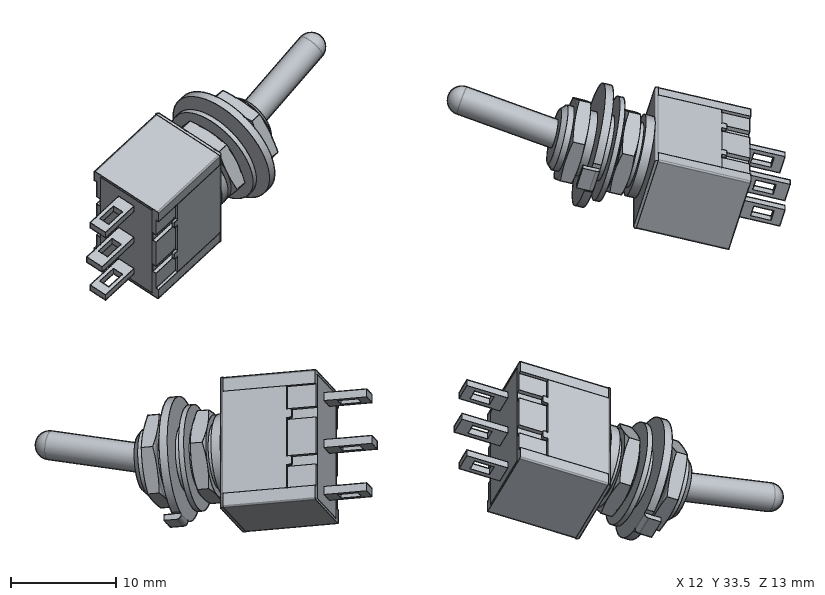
import cadquery as cq
import math


CASE_WIDTH = 7.98
CASE_HEIGHT = 13.0
CASE_REAR = -9.42
CASE_EDGE_RADIUS = 0.15

SHEET = 0.3
PLATE_EDGE_RADIUS = 0.27
ARM_HEIGHT = 10.2
ARM_REAR = -6.57
TONGUE_HEIGHT = 0.87
TONGUE_LENGTH = 0.5
TONGUE_RADIUS = 0.17

SLOT_PITCH = 4.7
SLOT_HEIGHT = 1.07
SLOT_DEPTH = 0.7
SLOT_BEVEL = 0.2

BASE_WIDTH = 6.37
BASE_HEIGHT = 12.4

TERMINAL_PITCH = 4.7
TERMINAL_WIDTH = 1.9
TERMINAL_THICKNESS = 0.8
MIDDLE_TERMINAL_LENGTH = 4.73
OUTER_TERMINAL_LENGTH = 4.23
EYE_WIDTH = 1.1
EYE_LENGTH = 2.0
OUTER_EYE_START = 1.25
MIDDLE_EYE_START = 1.45

FLANGE_DIAMETER = 7.98
FLANGE_LENGTH = 0.9
BUSHING_DIAMETER = 6.37
BUSHING_END = 8.9
BUSHING_TIP_DIAMETER = 5.35
BUSHING_CHAMFER = (BUSHING_DIAMETER - BUSHING_TIP_DIAMETER) / 2

LEVER_DIAMETER = 2.8
LEVER_TILT = 13.0
LEVER_PIVOT = 6.9
LEVER_TIP = 19.4

NUT_FLATS = 7.88
REAR_NUT_START = 1.4
REAR_NUT_LENGTH = 1.55
REAR_NUT_BEVEL = 0.2
FRONT_NUT_START = 6.37
FRONT_NUT_LENGTH = 1.4
FRONT_NUT_BEVEL = 0.15

PLAIN_WASHER_DIAMETER = 10.2
PLAIN_WASHER_START = 3.3
PLAIN_WASHER_LENGTH = 0.5
TAB_WASHER_DIAMETER = 11.97
TAB_WASHER_START = 4.65
TAB_WASHER_LENGTH = 0.8
TAB_TOP = -5.77
TAB_THICKNESS = 0.57
TAB_WIDTH = 2.28
TAB_LENGTH = 1.7
TAB_RADIUS = 0.45


def block(width, height, y_start, y_end):
    """Box centred on X and Z, reaching from y_start to y_end."""
    middle = (y_start + y_end) / 2
    return cq.Workplane("XY").box(width, y_end - y_start, height).translate((0, middle, 0))


def rod(diameter, y_start, length):
    """Cylinder on the Y axis, growing toward +Y."""
    plane = cq.Workplane("XZ", origin=(0, y_start, 0))
    return plane.circle(diameter / 2).extrude(-length)


def make_lever():
    radius = LEVER_DIAMETER / 2
    dome_centre = (LEVER_TIP - radius - LEVER_PIVOT) / math.cos(math.radians(LEVER_TILT))
    profile = (
        cq.Workplane("XY")
        .lineTo(radius, 0)
        .lineTo(radius, dome_centre)
        .radiusArc((0, dome_centre + radius), -radius)
        .close()
    )
    upright = profile.revolve(360, (0, 0, 0), (0, 1, 0))
    return upright.rotate((0, 0, 0), (1, 0, 0), LEVER_TILT).translate((0, LEVER_PIVOT, 0))


def make_arms():
    """Both side arms as one block as wide as the case, tongues included."""
    arms = block(CASE_WIDTH, ARM_HEIGHT, ARM_REAR, -SHEET)
    for side in (-1, 1):
        tongue = block(CASE_WIDTH, TONGUE_HEIGHT, ARM_REAR - TONGUE_LENGTH, ARM_REAR)
        tongue = tongue.edges("|X and <Y").fillet(TONGUE_RADIUS)
        arms = arms.union(tongue.translate((0, 0, side * SLOT_PITCH / 2)))
    space_between = block(CASE_WIDTH - 2 * SHEET, CASE_HEIGHT, CASE_REAR, -SHEET)
    return arms.cut(space_between)


def make_frame(lever):
    plate = block(CASE_WIDTH, CASE_HEIGHT, -SHEET, 0)
    plate = plate.edges("|Z and >Y").fillet(PLATE_EDGE_RADIUS)
    bushing = rod(BUSHING_DIAMETER, 0, BUSHING_END).faces(">Y").chamfer(BUSHING_CHAMFER)
    flange = rod(FLANGE_DIAMETER, 0, FLANGE_LENGTH)
    return plate.union(make_arms()).union(flange).union(bushing).cut(lever)


def make_slot_pair():
    """Slots on both sides of the case at one height; their inner ends are bevelled."""
    half = CASE_WIDTH / 2
    shallow = half - SHEET
    bevelled = shallow - SLOT_BEVEL
    floor = half - SLOT_DEPTH
    profile = [
        (half, CASE_REAR),
        (half, ARM_REAR),
        (shallow, ARM_REAR),
        (bevelled, ARM_REAR + SLOT_BEVEL),
        (floor, ARM_REAR + SLOT_BEVEL),
        (floor, CASE_REAR),
    ]
    slot = cq.Workplane("XY").polyline(profile).close().extrude(SLOT_HEIGHT / 2, both=True)
    return slot.union(slot.mirror("YZ"))


def make_case():
    case = block(CASE_WIDTH, CASE_HEIGHT, CASE_REAR, -SHEET)
    case = case.edges("|Y").fillet(CASE_EDGE_RADIUS)
    case = case.cut(block(BASE_WIDTH, BASE_HEIGHT, CASE_REAR, -SHEET))
    recess = block(CASE_WIDTH, ARM_HEIGHT, CASE_REAR, -SHEET)
    recess = recess.cut(block(CASE_WIDTH - 2 * SHEET, CASE_HEIGHT, CASE_REAR, -SHEET))
    case = case.cut(recess)
    for side in (-1, 1):
        case = case.cut(make_slot_pair().translate((0, 0, side * SLOT_PITCH / 2)))
    return case


def make_terminal(length, eye_start):
    blade = block(TERMINAL_WIDTH, TERMINAL_THICKNESS, CASE_REAR - length, CASE_REAR)
    eye_top = CASE_REAR - eye_start
    return blade.cut(block(EYE_WIDTH, CASE_HEIGHT, eye_top - EYE_LENGTH, eye_top))


def make_base():
    base = block(BASE_WIDTH, BASE_HEIGHT, CASE_REAR, -SHEET)
    base = base.union(make_terminal(MIDDLE_TERMINAL_LENGTH, MIDDLE_EYE_START))
    for side in (-1, 1):
        terminal = make_terminal(OUTER_TERMINAL_LENGTH, OUTER_EYE_START)
        base = base.union(terminal.translate((0, 0, side * TERMINAL_PITCH)))
    return base


def make_nut(y_start, length, bevel):
    corners = NUT_FLATS / math.cos(math.pi / 6)
    plane = cq.Workplane("XZ", origin=(0, y_start, 0))
    hexagon = plane.polygon(6, corners).extrude(-length)
    rise = (corners - NUT_FLATS) / 2
    cone_limit = rod(corners, y_start, length).faces("<Y or >Y").chamfer(bevel, rise)
    return hexagon.intersect(cone_limit).cut(rod(BUSHING_DIAMETER, y_start, length))


def make_washer(diameter, y_start, length):
    return rod(diameter, y_start, length).cut(rod(BUSHING_DIAMETER, y_start, length))


def make_tab_washer():
    washer = make_washer(TAB_WASHER_DIAMETER, TAB_WASHER_START, TAB_WASHER_LENGTH)
    below_tab = block(TAB_WASHER_DIAMETER, TAB_WASHER_DIAMETER, TAB_WASHER_START, BUSHING_END)
    washer = washer.cut(below_tab.translate((0, 0, TAB_TOP - TAB_WASHER_DIAMETER / 2)))
    tab = block(TAB_WIDTH, TAB_THICKNESS, TAB_WASHER_START, TAB_WASHER_START + TAB_LENGTH)
    tab = tab.edges("|X and <Y and <Z").fillet(TAB_RADIUS)
    return washer.union(tab.translate((0, 0, TAB_TOP - TAB_THICKNESS / 2)))


lever = make_lever()
frame = make_frame(lever)
case = make_case()
base = make_base()
rear_nut = make_nut(REAR_NUT_START, REAR_NUT_LENGTH, REAR_NUT_BEVEL)
front_nut = make_nut(FRONT_NUT_START, FRONT_NUT_LENGTH, FRONT_NUT_BEVEL)
plain_washer = make_washer(PLAIN_WASHER_DIAMETER, PLAIN_WASHER_START, PLAIN_WASHER_LENGTH)
tab_washer = make_tab_washer()

bodies = [lever, frame, case, base, rear_nut, front_nut, plain_washer, tab_washer]
result = cq.Compound.makeCompound([body.val() for body in bodies])